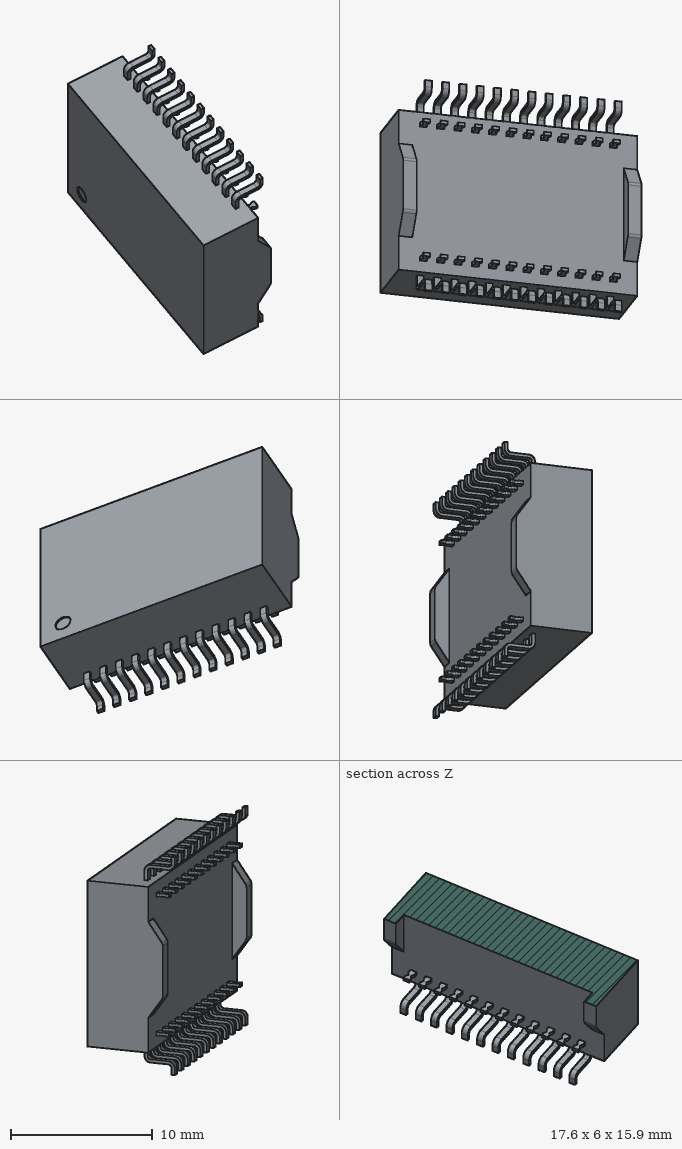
import cadquery as cq
import math

body_width = 17.55
body_depth = 4.6
body_height = 12.15

foot_width = 1.0
foot_depth = 1.09
foot_base_height = 7.02
foot_tip_height = 3.97
foot_edge_radius = 0.44

lead_count = 12
lead_row_span = 13.97
lead_pitch = lead_row_span / (lead_count - 1)
lead_width = 0.5
lead_thickness = 0.25
lead_bend_radius = 0.25
lead_front = 3.7
lead_tip_length = 0.74
overall_depth = 6.0
overall_height = 15.95

terminal_length = 0.97
terminal_width = lead_width
terminal_thickness = lead_thickness
terminal_offset = 5.09
notch_from_tip = 0.44
notch_radius = 0.2
notch_lip_radius = 0.28
notch_angle = math.radians(40)

lead_positions = [i * lead_pitch - lead_row_span / 2 for i in range(lead_count)]

mark_radius = 0.6
mark_depth = 0.1
mark_x = lead_positions[0]
mark_z = -4.5


def make_body():
    """Rectangular block with the pin 1 mark sunk into its front face."""
    block = cq.Workplane("XY").box(body_width, body_depth, body_height)
    block = block.translate((0, body_depth / 2, 0))
    mark = (
        cq.Workplane("XZ", origin=(mark_x, 0, mark_z))
        .circle(mark_radius)
        .extrude(-mark_depth)
    )
    return block.cut(mark)


def make_foot(side):
    """Trapezoidal standoff flush with the left (side = -1) or right (side = 1) end."""
    foot_back = body_depth + foot_depth
    outline = [
        (body_depth, -foot_base_height / 2),
        (foot_back, -foot_tip_height / 2),
        (foot_back, foot_tip_height / 2),
        (body_depth, foot_base_height / 2),
    ]
    foot = cq.Workplane("YZ").polyline(outline).close().extrude(foot_width / 2, both=True)
    foot = foot.edges("|X and >Y").fillet(foot_edge_radius)
    return foot.translate((side * (body_width - foot_width) / 2, 0, 0))


def make_lead():
    """Upper lead at X = 0: up out of the body, back, then up again to the tip."""
    inner_radius = lead_bend_radius
    outer_radius = inner_radius + lead_thickness
    body_top = body_height / 2
    tip = overall_height / 2
    step_top = tip - lead_tip_length
    step_bottom = step_top - lead_thickness
    root_back = lead_front + lead_thickness
    tip_front = overall_depth - lead_thickness
    outline = (
        cq.Workplane("YZ")
        .moveTo(lead_front, body_top)
        .lineTo(lead_front, step_top - outer_radius)
        .radiusArc((lead_front + outer_radius, step_top), outer_radius)
        .lineTo(tip_front - inner_radius, step_top)
        .radiusArc((tip_front, step_top + inner_radius), -inner_radius)
        .lineTo(tip_front, tip)
        .lineTo(overall_depth, tip)
        .lineTo(overall_depth, step_bottom + outer_radius)
        .radiusArc((overall_depth - outer_radius, step_bottom), outer_radius)
        .lineTo(root_back + inner_radius, step_bottom)
        .radiusArc((root_back, step_bottom - inner_radius), -inner_radius)
        .lineTo(root_back, body_top)
        .close()
    )
    return outline.extrude(lead_width / 2, both=True)


def make_terminal():
    """Upper terminal at X = 0, with a smoothly rounded notch in each side."""
    half_width = terminal_width / 2
    tip = body_depth + terminal_length
    notch_y = tip - notch_from_tip
    valley_half = notch_radius * math.sin(notch_angle)
    mouth_half = valley_half + notch_lip_radius * math.sin(notch_angle)
    flank_x = half_width - notch_lip_radius * (1 - math.cos(notch_angle))
    outline = (
        cq.Workplane("XY", origin=(0, 0, terminal_offset))
        .moveTo(half_width, body_depth)
        .lineTo(half_width, notch_y - mouth_half)
        .radiusArc((flank_x, notch_y - valley_half), -notch_lip_radius)
        .radiusArc((flank_x, notch_y + valley_half), notch_radius)
        .radiusArc((half_width, notch_y + mouth_half), -notch_lip_radius)
        .lineTo(half_width, tip)
        .lineTo(-half_width, tip)
        .lineTo(-half_width, notch_y + mouth_half)
        .radiusArc((-flank_x, notch_y + valley_half), -notch_lip_radius)
        .radiusArc((-flank_x, notch_y - valley_half), notch_radius)
        .radiusArc((-half_width, notch_y - mouth_half), -notch_lip_radius)
        .lineTo(-half_width, body_depth)
        .close()
    )
    return outline.extrude(terminal_thickness / 2, both=True)


attachments = cq.Workplane("XY")
for side in (-1, 1):
    attachments = attachments.add(make_foot(side))

for upper_pin in (make_lead(), make_terminal()):
    for pin in (upper_pin, upper_pin.mirror("XY")):
        for x in lead_positions:
            attachments = attachments.add(pin.translate((x, 0, 0)))

result = make_body().union(attachments)